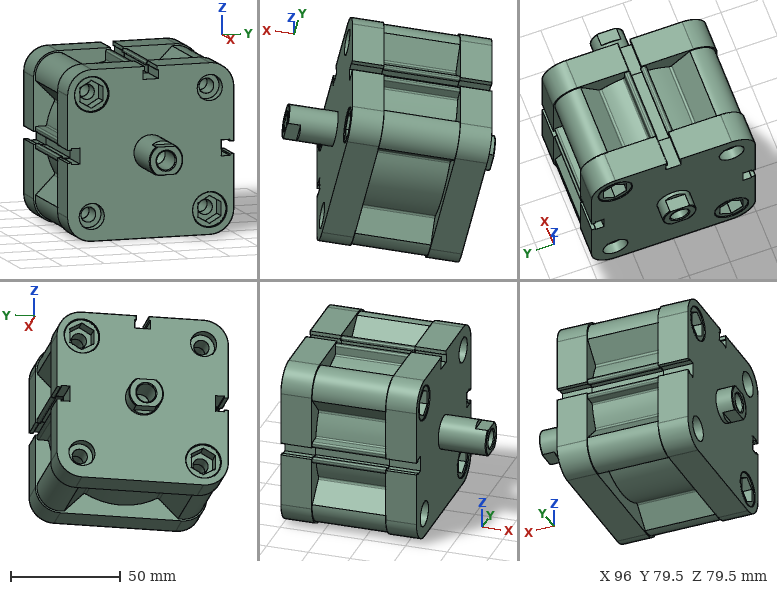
import cadquery as cq
import math


rod_length = 96.0
rod_diameter = 16.0
rod_chamfer = 0.4
flat_length = 6.0
flat_spacing = 13.0
flat_end_slope = 15.0
thread_diameter = 8.8
thread_mouth_diameter = 9.8
thread_depth = 15.4
drill_point_angle = 118.0

cap_length = 14.8
cap_size = 79.5
bolt_offset = 28.2
tube_start = -25.1
tube_length = 35.4
tube_end = tube_start + tube_length

bolt_hole_diameter = 7.0
counterbore_diameter = 12.0
counterbore_depth = 5.0
head_diameter = 16.0
head_seat_diameter = 16.5
head_recess_depth = 0.5
head_gap_depth = 1.0
hex_width = 11.1
hex_depth = 6.5

slot_depth = 6.0
slot_floor = cap_size / 2 - slot_depth
cap_slot_mouth = 6.0
cap_slot_width = 7.4
cap_lip_bottom = cap_size / 2 - 1.9

barrel_radius = 34.1
lobe_radius = 10.8
web_width = 17.5
web_fillet = 1.2
rail_top = bolt_offset + lobe_radius
rail_width = 10.6
rail_edge_fillet = 0.9
rail_root_fillet = 0.8
tube_slot_mouth = 5.2
tube_slot_width = 6.7
tube_lip_bottom = cap_size / 2 - 2.3
lip_fillet = 0.8

WEB_TURNS = [45, 135, 225, 315]
SLOT_TURNS = [0, 90, 270]

HEAD_CORNERS = [(bolt_offset, bolt_offset), (-bolt_offset, -bolt_offset)]
PLAIN_CORNERS = [(bolt_offset, -bolt_offset), (-bolt_offset, bolt_offset)]


def profile_plane(x):
    """Sketch plane at the given X: its local axes are Y and Z, and it extrudes toward +X."""
    return cq.Workplane("YZ", origin=(x, 0, 0))


def turn(shape, angle):
    """Rotate a shape about the cylinder axis."""
    return shape.rotate((0, 0, 0), (1, 0, 0), angle)


def cut_slots(body, start, length, mouth, width, lip_bottom):
    """Cut a T-shaped slot along the middle of each slotted side."""
    past_side = cap_size
    opening = profile_plane(start).rect(mouth, past_side).extrude(length)
    opening = opening.translate((0, 0, slot_floor + past_side / 2))
    channel_height = lip_bottom - slot_floor
    channel = profile_plane(start).rect(width, channel_height).extrude(length)
    channel = channel.translate((0, 0, slot_floor + channel_height / 2))
    slot = opening.union(channel)
    for angle in SLOT_TURNS:
        body = body.cut(turn(slot, angle))
    return body


def cut_bolt_holes(body, start, length):
    """Cut the four through holes of the bolts."""
    corners = HEAD_CORNERS + PLAIN_CORNERS
    holes = profile_plane(start).pushPoints(corners).circle(bolt_hole_diameter / 2).extrude(length)
    return body.cut(holes)


def cut_rod_bore(body, start, length):
    """Cut the bore that the piston rod fills."""
    return body.cut(profile_plane(start).circle(rod_diameter / 2).extrude(length))


def make_cap():
    """End cap at the -X end, with its outer face on the -X side."""
    outer_face = tube_start - cap_length
    cap = profile_plane(outer_face).rect(cap_size, cap_size).extrude(cap_length)
    cap = cap.edges("|X").fillet(cap_size / 2 - bolt_offset)
    cap = cut_slots(cap, outer_face, cap_length, cap_slot_mouth, cap_slot_width, cap_lip_bottom)
    cap = cut_bolt_holes(cap, outer_face, cap_length)
    cap = cut_rod_bore(cap, outer_face, cap_length)

    counterbores = profile_plane(outer_face).pushPoints(PLAIN_CORNERS)
    cap = cap.cut(counterbores.circle(counterbore_diameter / 2).extrude(counterbore_depth))

    seats = profile_plane(outer_face).pushPoints(HEAD_CORNERS).circle(head_seat_diameter / 2)
    seats = seats.extrude(head_recess_depth + head_gap_depth)
    heads = profile_plane(outer_face + head_recess_depth).pushPoints(HEAD_CORNERS)
    heads = heads.circle(head_diameter / 2).extrude(head_gap_depth)
    cap = cap.cut(seats.cut(heads))
    hex_across_corners = hex_width / math.cos(math.radians(30))
    for y, z in HEAD_CORNERS:
        socket = profile_plane(outer_face).polygon(6, hex_across_corners)
        socket = socket.extrude(head_recess_depth + hex_depth)
        cap = cap.cut(turn(socket, 90).translate((0, y, z)))
    return cap


def make_other_cap(cap):
    """The same cap turned half round about Z, so that its bolt heads take the other diagonal."""
    tube_middle = (tube_start + tube_end) / 2
    return cap.rotate((tube_middle, 0, 0), (tube_middle, 0, 1), 180)


def fillet_edge_pairs(body, directions, along, across, radius):
    """Fillet pairs of lengthwise edges, `along` each direction from the axis and `across` to both sides."""
    tube_middle = (tube_start + tube_end) / 2
    edges = []
    for angle in directions:
        direction = math.radians(angle)
        for side in (across, -across):
            y = -along * math.sin(direction) + side * math.cos(direction)
            z = along * math.cos(direction) + side * math.sin(direction)
            edges.append(body.edges(cq.selectors.NearestToPointSelector((tube_middle, y, z))).val())
    return body.newObject(edges).fillet(radius)


def make_tube():
    """Cylinder tube: a round barrel, four corner lobes on diagonal webs and three slotted rails."""
    tube = profile_plane(tube_start).circle(barrel_radius).extrude(tube_length)

    lobe_distance = bolt_offset * math.sqrt(2)
    web = profile_plane(tube_start).center(lobe_distance / 2, 0).rect(lobe_distance, web_width)
    web = web.extrude(tube_length)
    lobe = profile_plane(tube_start).center(lobe_distance, 0).circle(lobe_radius).extrude(tube_length)
    web_band = profile_plane(tube_start).rect(2 * cap_size, web_width).extrude(tube_length)
    corner = web.union(lobe.intersect(web_band))
    for angle in WEB_TURNS:
        tube = tube.union(turn(corner, angle))

    rail = profile_plane(tube_start).center(0, rail_top / 2).rect(rail_width, rail_top)
    rail = rail.extrude(tube_length)
    rail = rail.edges("|X and >Z").fillet(rail_edge_fillet)
    for angle in SLOT_TURNS:
        tube = tube.union(turn(rail, angle))

    web_root = math.sqrt(barrel_radius**2 - (web_width / 2) ** 2)
    rail_root = math.sqrt(barrel_radius**2 - (rail_width / 2) ** 2)
    tube = fillet_edge_pairs(tube, WEB_TURNS, web_root, web_width / 2, web_fillet)
    tube = fillet_edge_pairs(tube, SLOT_TURNS, rail_root, rail_width / 2, rail_root_fillet)

    tube = cut_slots(tube, tube_start, tube_length, tube_slot_mouth, tube_slot_width, tube_lip_bottom)
    tube = fillet_edge_pairs(tube, SLOT_TURNS, rail_top, tube_slot_mouth / 2, lip_fillet)
    tube = cut_bolt_holes(tube, tube_start, tube_length)
    return cut_rod_bore(tube, tube_start, tube_length)


def make_rod():
    """Piston rod with chamfered ends, two wrench flats and a tapped hole at each end."""
    rod = profile_plane(-rod_length / 2).circle(rod_diameter / 2).extrude(rod_length)
    rod = rod.faces("<X or >X").chamfer(rod_chamfer)

    foot_height = flat_spacing / 2
    flat_depth = rod_diameter / 2 - foot_height
    shoulder_run = flat_depth * math.tan(math.radians(flat_end_slope))
    end = -rod_length / 2
    foot = end + flat_length
    flat_outline = [
        (end, foot_height),
        (foot, foot_height),
        (foot + shoulder_run, foot_height + flat_depth),
        (end, foot_height + flat_depth),
    ]
    flat = cq.Workplane("XZ").polyline(flat_outline).close().extrude(rod_diameter / 2, both=True)
    for cutter in (flat, flat.mirror("XY")):
        rod = rod.cut(cutter).cut(cutter.mirror("YZ"))

    thread_radius = thread_diameter / 2
    mouth_radius = thread_mouth_diameter / 2
    mouth_depth = mouth_radius - thread_radius
    point_depth = thread_radius / math.tan(math.radians(drill_point_angle / 2))
    hole_outline = [
        (0, 0),
        (0, mouth_radius),
        (mouth_depth, thread_radius),
        (thread_depth, thread_radius),
        (thread_depth + point_depth, 0),
    ]
    hole = cq.Workplane("XY").polyline(hole_outline).close().revolve(360, (0, 0, 0), (1, 0, 0))
    hole = hole.translate((-rod_length / 2, 0, 0))
    return rod.cut(hole).cut(hole.mirror("YZ"))


near_cap = make_cap()
far_cap = make_other_cap(near_cap)
tube = make_tube()
rod = make_rod()

result = cq.Compound.makeCompound([near_cap.val(), far_cap.val(), tube.val(), rod.val()])